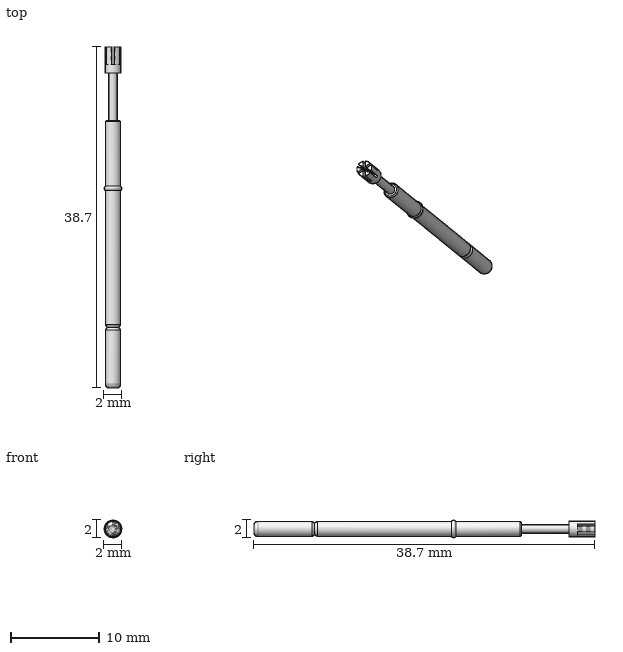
import cadquery as cq

total_length = 38.7

head_diameter = 1.8
head_length = 3.0
slot_width = 0.25
slot_depth = 2.0
slot_count = 3

plunger_diameter = 1.0
plunger_length = 5.35

barrel_diameter = 1.75
barrel_mouth_chamfer = 0.15
tail_radius = 0.45

ring_diameter = 2.0
ring_width = 0.5
ring_to_mouth = 7.45

groove_width = 0.6
groove_depth = 0.2
groove_to_tail = 6.9

head_radius = head_diameter / 2
plunger_radius = plunger_diameter / 2
barrel_radius = barrel_diameter / 2
head_start = total_length - head_length
barrel_mouth = head_start - plunger_length
ring_end = barrel_mouth - ring_to_mouth
ring_start = ring_end - ring_width


def cylinder(radius, start, length):
    """Round bar along Y, reaching from start to start + length."""
    workplane = cq.Workplane("XZ", origin=(0, start, 0))
    return workplane.circle(radius).extrude(-length)


def make_groove():
    """Ring with a V section that cuts the crimp groove."""
    half_width = groove_width / 2
    return (
        cq.Workplane("XY")
        .moveTo(barrel_radius, groove_to_tail - half_width)
        .lineTo(barrel_radius - groove_depth, groove_to_tail)
        .lineTo(barrel_radius, groove_to_tail + half_width)
        .close()
        .revolve(360, (0, 0, 0), (0, 1, 0))
    )


def make_press_ring():
    """Solid disc whose rim is an arc rising from the barrel surface to the crown."""
    ring_middle = (ring_start + ring_end) / 2
    return (
        cq.Workplane("XY")
        .moveTo(0, ring_start)
        .lineTo(barrel_radius, ring_start)
        .threePointArc((ring_diameter / 2, ring_middle), (barrel_radius, ring_end))
        .lineTo(0, ring_end)
        .close()
        .revolve(360, (0, 0, 0), (0, 1, 0))
    )


def make_barrel():
    """Barrel with rounded tail, chamfered mouth, crimp groove and press ring."""
    barrel = cylinder(barrel_radius, 0, barrel_mouth)
    barrel = barrel.faces("<Y").edges().fillet(tail_radius)
    barrel = barrel.faces(">Y").edges().chamfer(barrel_mouth_chamfer)
    return barrel.cut(make_groove()).union(make_press_ring())


def make_head():
    """Head split into equal prongs by slots through its axis; one slot is upright."""
    head = cylinder(head_radius, head_start, head_length)
    upright_slot = cq.Workplane("XY").box(slot_width, slot_depth, head_diameter)
    upright_slot = upright_slot.translate((0, total_length - slot_depth / 2, 0))
    for index in range(slot_count):
        angle = index * 180 / slot_count
        head = head.cut(upright_slot.rotate((0, 0, 0), (0, 1, 0), angle))
    return head


plunger = cylinder(plunger_radius, barrel_mouth, plunger_length)
result = make_barrel().union(plunger).union(make_head())